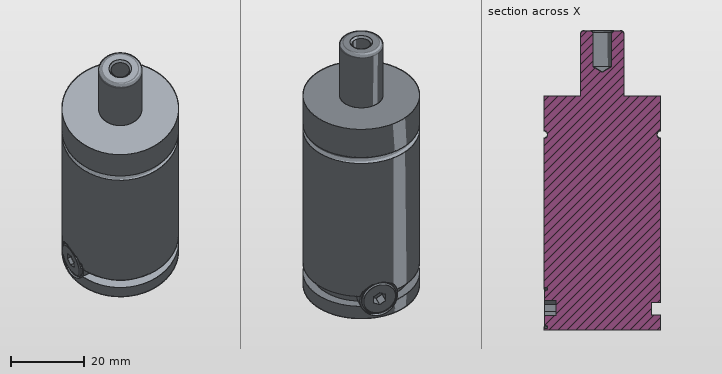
import cadquery as cq
import math

total_height = 82.0
body_diameter = 32.0
body_top = 64.1
rod_diameter = 12.0
rod_fillet = 1.0

hole_diameter = 5.0
hole_chamfer = 0.6
hole_depth = 9.8
drill_tip_angle = 118

ring_radius = 1.0
ring_height = 53.55
slot_bottom = 4.2
slot_top = 7.55
slot_floor_diameter = 27.1

plug_height = 6.1
boss_diameter = 11.0
plug_diameter = 10.0
plug_chamfer = 0.4
plug_face_recess = 0.2
spotface_depth = 1.0
hex_across_corners = 4.0
hex_depth = 3.3

body_radius = body_diameter / 2
side_plane = cq.Plane(origin=(0, -body_radius, plug_height), xDir=(1, 0, 0), normal=(0, -1, 0))


def cylinder(diameter, bottom, top):
    """Cylinder about the Z axis between two heights."""
    return cq.Workplane("XY").workplane(offset=bottom).circle(diameter / 2).extrude(top - bottom)


def make_body():
    """Cylinder with a half-round ring groove and a square slot near the base."""
    body = cylinder(body_diameter, 0, body_top)
    ring = (
        cq.Workplane("XZ")
        .center(body_radius, ring_height)
        .circle(ring_radius)
        .revolve(360, (-body_radius, 0), (-body_radius, 1))
    )
    slot = cylinder(body_diameter, slot_bottom, slot_top).cut(
        cylinder(slot_floor_diameter, slot_bottom, slot_top)
    )
    return body.cut(ring).cut(slot)


def make_rod():
    """Piston rod with a rounded end and a chamfered, drill-pointed hole."""
    rod = cylinder(rod_diameter, body_top, total_height).faces(">Z").edges().fillet(rod_fillet)
    hole_radius = hole_diameter / 2
    mouth_radius = hole_radius + hole_chamfer
    tip_length = hole_radius / math.tan(math.radians(drill_tip_angle / 2))
    hole_bottom = total_height - hole_depth
    hole = (
        cq.Workplane("XZ")
        .moveTo(0, total_height)
        .lineTo(mouth_radius, total_height)
        .lineTo(hole_radius, total_height - hole_chamfer)
        .lineTo(hole_radius, hole_bottom)
        .lineTo(0, hole_bottom - tip_length)
        .close()
        .revolve(360, (0, 0), (0, 1))
    )
    return rod.cut(hole)


def plug_cylinder(diameter, start_depth, end_depth):
    """Cylinder along the plug axis between two depths below the body's side."""
    return (
        cq.Workplane(side_plane)
        .workplane(offset=-start_depth)
        .circle(diameter / 2)
        .extrude(start_depth - end_depth)
    )


def add_plug(body):
    """Bridge the slot with a spotfaced boss and seat a hex-socket plug in it."""
    spotface = plug_cylinder(boss_diameter, 0, spotface_depth)
    boss = plug_cylinder(boss_diameter, spotface_depth, body_radius)
    plug = plug_cylinder(plug_diameter, plug_face_recess, body_radius).faces("<Y").chamfer(plug_chamfer)
    socket = (
        cq.Workplane(side_plane)
        .transformed(rotate=(0, 0, 90))
        .polygon(6, hex_across_corners)
        .extrude(-hex_depth)
    )
    return body.cut(spotface).union(boss).union(plug).cut(socket)


result = add_plug(make_body()).union(make_rod())